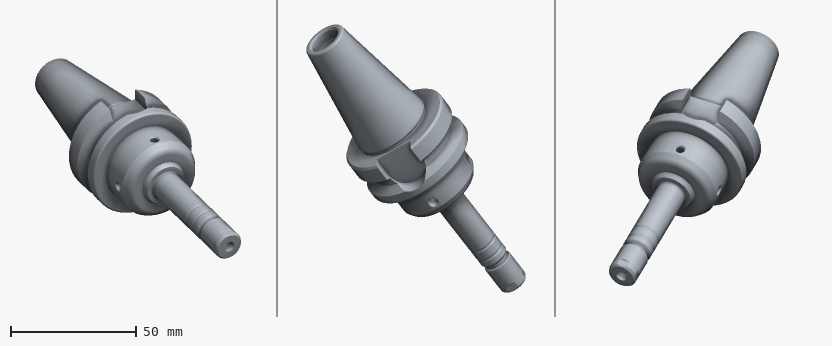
import cadquery as cq
import math


gauge_dia = 31.75
shank_length = 48.4
taper_ratio = 7 / 24
shank_rim_radius = 1.0
neck_dia = 30.8
neck_slope_length = 0.8

flange_start = 2.0
flange_end = 22.0
flange_dia = 46.0
flange_front_chamfer = 0.8
flange_back_fillet = 0.9
vee_centre = 13.6
vee_floor_width = 3.4
vee_floor_dia = 38.0
vee_side_angle = 30.0

slot_count = 2
slot_width = 16.1
slot_floor_height = 16.3
slot_end = 19.0

body_dia = 34.0
body_end = 38.0
body_cone_start = 34.2
body_cone_angle = 30.0
body_nose_radius = 3.0
collar_end = 40.0
collar_base_dia = 19.0
collar_tip_dia = 16.8

stem_dia = 12.0
stem_fillet = 0.8
ring_groove_starts = (65.8, 70.8)
ring_groove_width = 1.3
ring_groove_depth = 0.25
stem_end = 74.6
relief_dia = 10.0
nut_start = 77.1
nut_start_fillet = 0.4
nut_end = 90.0
nut_tip_length = 0.9
nut_tip_dia = 10.4

flat_count = 4
flat_height = 5.55
flat_start = 86.3
flat_runout_radius = 0.6

screw_hole_count = 4
screw_hole_position = 31.0
screw_hole_dia = 3.46
screw_hole_mouth_dia = 4.5
screw_hole_depth = 9.0

bore_mouth_dia = 14.0
bore_pilot_dia = 12.5
bore_pilot_depth = 5.0
bore_recess_dia = 12.0
bore_recess_depth = 6.2
bore_thread_dia = 10.5
bore_thread_depth = 24.0
through_hole_dia = 4.5

drill_half_angle = 59.0


def slope_run(rise, angle):
    """Length covered along one direction while climbing `rise` along the other."""
    return rise / math.tan(math.radians(angle))


def slope_rise(run, angle):
    return run * math.tan(math.radians(angle))


def turned_body():
    """Solid of revolution around X holding the shank, flange, body, stem and nut."""
    gauge_radius = gauge_dia / 2
    shank_start = -shank_length

    taper_angle = math.atan(taper_ratio / 2)
    rim_centre_x = shank_start + shank_rim_radius
    rim_end_x = rim_centre_x - shank_rim_radius * math.sin(taper_angle)
    rim_end_radius = gauge_radius + rim_end_x * taper_ratio / 2
    rim_centre_radius = rim_end_radius - shank_rim_radius * math.cos(taper_angle)
    rim_mid_angle = (math.pi / 2 + taper_angle) / 2
    rim_mid = (
        rim_centre_x - shank_rim_radius * math.cos(rim_mid_angle),
        rim_centre_radius + shank_rim_radius * math.sin(rim_mid_angle),
    )

    flange_radius = flange_dia / 2
    flange_fillet_mid_offset = flange_back_fillet * (1 - math.sqrt(0.5))
    vee_floor_radius = vee_floor_dia / 2
    vee_floor_half = vee_floor_width / 2
    vee_top_half = vee_floor_half + slope_rise(flange_radius - vee_floor_radius, vee_side_angle)

    body_radius = body_dia / 2
    cone_angle = math.radians(body_cone_angle)
    nose_centre_x = body_end - body_nose_radius
    nose_start_x = nose_centre_x + body_nose_radius * math.sin(cone_angle)
    nose_start_radius = body_radius - slope_rise(nose_start_x - body_cone_start, body_cone_angle)
    nose_centre_radius = nose_start_radius - body_nose_radius * math.cos(cone_angle)
    nose_mid_angle = (math.pi / 2 - cone_angle) / 2
    nose_mid = (
        nose_centre_x + body_nose_radius * math.cos(nose_mid_angle),
        nose_centre_radius + body_nose_radius * math.sin(nose_mid_angle),
    )

    stem_radius = stem_dia / 2
    relief_radius = relief_dia / 2
    nut_fillet_mid_offset = nut_start_fillet * (1 - math.sqrt(0.5))
    stem_fillet_mid_offset = stem_fillet * (1 - math.sqrt(0.5))

    profile = (
        cq.Workplane("XY")
        .moveTo(shank_start, 0)
        .lineTo(shank_start, rim_centre_radius)
        .threePointArc(rim_mid, (rim_end_x, rim_end_radius))
        .lineTo(0, gauge_radius)
        .lineTo(neck_slope_length, neck_dia / 2)
        .lineTo(flange_start, neck_dia / 2)
        .lineTo(flange_start, flange_radius - flange_front_chamfer)
        .lineTo(flange_start + flange_front_chamfer, flange_radius)
        .lineTo(vee_centre - vee_top_half, flange_radius)
        .lineTo(vee_centre - vee_floor_half, vee_floor_radius)
        .lineTo(vee_centre + vee_floor_half, vee_floor_radius)
        .lineTo(vee_centre + vee_top_half, flange_radius)
        .lineTo(flange_end - flange_back_fillet, flange_radius)
        .threePointArc(
            (flange_end - flange_fillet_mid_offset, flange_radius - flange_fillet_mid_offset),
            (flange_end, flange_radius - flange_back_fillet),
        )
        .lineTo(flange_end, body_radius)
        .lineTo(body_cone_start, body_radius)
        .lineTo(nose_start_x, nose_start_radius)
        .threePointArc(nose_mid, (body_end, nose_centre_radius))
        .lineTo(body_end, collar_base_dia / 2)
        .lineTo(collar_end, collar_tip_dia / 2)
        .lineTo(collar_end, stem_radius + stem_fillet)
        .threePointArc(
            (collar_end + stem_fillet_mid_offset, stem_radius + stem_fillet_mid_offset),
            (collar_end + stem_fillet, stem_radius),
        )
    )
    for groove_start in ring_groove_starts:
        profile = (
            profile.lineTo(groove_start, stem_radius)
            .threePointArc(
                (groove_start + ring_groove_width / 2, stem_radius - ring_groove_depth),
                (groove_start + ring_groove_width, stem_radius),
            )
        )
    return (
        profile.lineTo(stem_end, stem_radius)
        .lineTo(stem_end + stem_radius - relief_radius, relief_radius)
        .lineTo(nut_start, relief_radius)
        .lineTo(nut_start, stem_radius - nut_start_fillet)
        .threePointArc(
            (nut_start + nut_fillet_mid_offset, stem_radius - nut_fillet_mid_offset),
            (nut_start + nut_start_fillet, stem_radius),
        )
        .lineTo(nut_end - nut_tip_length, stem_radius)
        .lineTo(nut_end, nut_tip_dia / 2)
        .lineTo(nut_end, 0)
        .close()
        .revolve(360, (0, 0, 0), (1, 0, 0))
    )


def axial_bore():
    """Stepped bore from the shank end, with a drill-point floor and a through hole."""
    start = -shank_length
    mouth_radius = bore_mouth_dia / 2
    pilot_radius = bore_pilot_dia / 2
    recess_radius = bore_recess_dia / 2
    thread_radius = bore_thread_dia / 2
    hole_radius = through_hole_dia / 2
    pilot_end = start + bore_pilot_depth
    recess_end = start + bore_recess_depth
    thread_end = start + bore_thread_depth
    cone_end = thread_end + slope_run(thread_radius - hole_radius, drill_half_angle)
    return (
        cq.Workplane("XY")
        .moveTo(start, 0)
        .lineTo(start, mouth_radius)
        .lineTo(start + mouth_radius - pilot_radius, pilot_radius)
        .lineTo(pilot_end, pilot_radius)
        .lineTo(pilot_end + pilot_radius - recess_radius, recess_radius)
        .lineTo(recess_end, recess_radius)
        .lineTo(recess_end + recess_radius - thread_radius, thread_radius)
        .lineTo(thread_end, thread_radius)
        .lineTo(cone_end, hole_radius)
        .lineTo(nut_end, hole_radius)
        .lineTo(nut_end, 0)
        .close()
        .revolve(360, (0, 0, 0), (1, 0, 0))
    )


def driving_slot():
    """Round-ended slot in the top of the flange, open toward the shank."""
    arc_centre_x = slot_end - slot_width / 2
    return (
        cq.Workplane("XY", origin=(0, 0, slot_floor_height))
        .moveTo(flange_start, -slot_width / 2)
        .lineTo(arc_centre_x, -slot_width / 2)
        .threePointArc((slot_end, 0), (arc_centre_x, slot_width / 2))
        .lineTo(flange_start, slot_width / 2)
        .close()
        .extrude(flange_dia / 2 - slot_floor_height)
    )


def screw_hole():
    """Countersunk blind hole entering the body from the top, with a drill-point floor."""
    body_radius = body_dia / 2
    hole_radius = screw_hole_dia / 2
    mouth_radius = screw_hole_mouth_dia / 2
    floor_height = body_radius - screw_hole_depth
    return (
        cq.Workplane("XZ", origin=(screw_hole_position, 0, 0))
        .moveTo(0, body_radius)
        .lineTo(mouth_radius, body_radius)
        .lineTo(hole_radius, body_radius - (mouth_radius - hole_radius))
        .lineTo(hole_radius, floor_height)
        .lineTo(0, floor_height - slope_run(hole_radius, drill_half_angle))
        .close()
        .revolve(360, (0, 0, 0), (0, 1, 0))
    )


def nut_flat():
    """Cutter for the top flat of the nut tip; a concave arc ends the flat toward the stem."""
    stem_radius = stem_dia / 2
    cut_depth = stem_radius - flat_height
    arc_rise = flat_runout_radius - cut_depth
    arc_centre_x = flat_start + math.sqrt(flat_runout_radius**2 - arc_rise**2)
    arc_centre_z = flat_height + flat_runout_radius
    mid_angle = (math.asin(arc_rise / flat_runout_radius) + math.pi / 2) / 2
    arc_mid = (
        arc_centre_x - flat_runout_radius * math.cos(mid_angle),
        arc_centre_z - flat_runout_radius * math.sin(mid_angle),
    )
    return (
        cq.Workplane("XZ")
        .moveTo(flat_start, stem_radius)
        .threePointArc(arc_mid, (arc_centre_x, flat_height))
        .lineTo(nut_end, flat_height)
        .lineTo(nut_end, stem_radius)
        .close()
        .extrude(stem_radius, both=True)
    )


def cut_around_axis(part, cutter, count):
    """Cut `count` equally spaced copies of `cutter` around the X axis."""
    for index in range(count):
        part = part.cut(cutter.rotate((0, 0, 0), (1, 0, 0), index * 360 / count))
    return part


result = turned_body().cut(axial_bore())
result = cut_around_axis(result, driving_slot(), slot_count)
result = cut_around_axis(result, screw_hole(), screw_hole_count)
result = cut_around_axis(result, nut_flat(), flat_count)